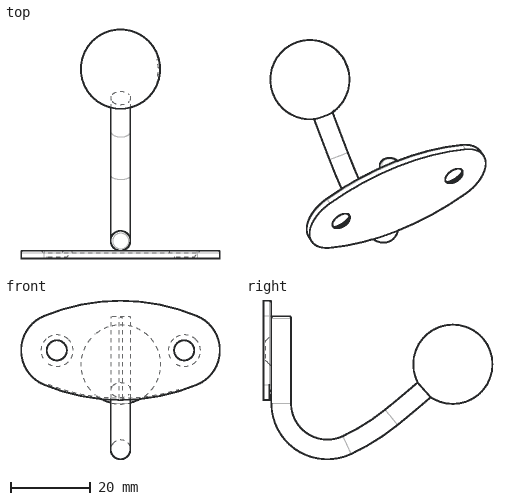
import cadquery as cq
import math

PLATE_LENGTH = 50.0
PLATE_HEIGHT = 25.0
PLATE_THICKNESS = 2.0
PLATE_SIDE_RADIUS = 50.0
PLATE_EDGE_FILLET = 0.5
HOLE_DIAMETER = 5.0
HOLE_SPACING = 32.0
COUNTERSINK_DIAMETER = 8.0
COUNTERSINK_ANGLE = 90.0

ROD_DIAMETER = 5.0
ROD_TOP_Z = 8.6
ROD_TOP_FILLET = 0.5
ROD_WELD_OVERLAP = 0.05
BEND_START_Z = -13.3
BEND_RADIUS = 11.6
BEND_ENTRY_ANGLE = -90.0
BEND_EXIT_ANGLE = 25.0
SWEEP_RADIUS = 54.0
SWEEP_EXIT_ANGLE = 39.0

BALL_DIAMETER = 20.0
BALL_CENTER_Y = 47.59
BALL_CENTER_Z = -3.5

ROD_RADIUS = ROD_DIAMETER / 2
ROD_Y = PLATE_THICKNESS + ROD_RADIUS - ROD_WELD_OVERLAP


def make_plate():
    """Oval plate: two long shallow arcs joined tangentially to two end arcs."""
    half_length = PLATE_LENGTH / 2
    half_height = PLATE_HEIGHT / 2
    side_offset = PLATE_SIDE_RADIUS - half_height
    end_radius = (PLATE_SIDE_RADIUS**2 - half_length**2 - side_offset**2) / (
        2 * (PLATE_SIDE_RADIUS - half_length)
    )
    end_center = half_length - end_radius
    center_distance = PLATE_SIDE_RADIUS - end_radius
    tangent_x = end_center + end_radius * end_center / center_distance
    tangent_z = end_radius * side_offset / center_distance

    plate = (
        cq.Workplane("XZ")
        .moveTo(-tangent_x, tangent_z)
        .threePointArc((0, half_height), (tangent_x, tangent_z))
        .threePointArc((half_length, 0), (tangent_x, -tangent_z))
        .threePointArc((0, -half_height), (-tangent_x, -tangent_z))
        .threePointArc((-half_length, 0), (-tangent_x, tangent_z))
        .close()
        .extrude(-PLATE_THICKNESS)
        .faces(">Y")
        .edges()
        .fillet(PLATE_EDGE_FILLET)
    )
    return (
        plate.faces(">Y")
        .workplane(origin=(0, PLATE_THICKNESS, 0))
        .pushPoints([(-HOLE_SPACING / 2, 0), (HOLE_SPACING / 2, 0)])
        .cskHole(HOLE_DIAMETER, COUNTERSINK_DIAMETER, COUNTERSINK_ANGLE)
    )


def point_below(center, radius, slope):
    """Point (Y, Z) on the underside of an arc where its tangent has the given slope."""
    angle = math.radians(slope)
    return (center[0] + radius * math.sin(angle), center[1] - radius * math.cos(angle))


def make_rod():
    """Round rod: straight shank, tight bend, gentle sweep, then a very slack arc into the ball."""
    bend_center = (ROD_Y + BEND_RADIUS, BEND_START_Z)
    bend_middle_angle = (BEND_ENTRY_ANGLE + BEND_EXIT_ANGLE) / 2
    bend_middle = point_below(bend_center, BEND_RADIUS, bend_middle_angle)
    bend_end = point_below(bend_center, BEND_RADIUS, BEND_EXIT_ANGLE)

    exit_angle = math.radians(BEND_EXIT_ANGLE)
    sweep_center = (
        bend_end[0] - SWEEP_RADIUS * math.sin(exit_angle),
        bend_end[1] + SWEEP_RADIUS * math.cos(exit_angle),
    )
    sweep_middle_angle = (BEND_EXIT_ANGLE + SWEEP_EXIT_ANGLE) / 2
    sweep_middle = point_below(sweep_center, SWEEP_RADIUS, sweep_middle_angle)
    sweep_end = point_below(sweep_center, SWEEP_RADIUS, SWEEP_EXIT_ANGLE)

    path = (
        cq.Workplane("YZ")
        .moveTo(ROD_Y, ROD_TOP_Z)
        .lineTo(ROD_Y, BEND_START_Z)
        .threePointArc(bend_middle, bend_end)
        .threePointArc(sweep_middle, sweep_end)
        .tangentArcPoint((BALL_CENTER_Y, BALL_CENTER_Z), relative=False)
    )
    rod = (
        cq.Workplane("XY", origin=(0, ROD_Y, ROD_TOP_Z))
        .circle(ROD_RADIUS)
        .sweep(path)
    )
    return rod.faces(">Z").edges().fillet(ROD_TOP_FILLET)


def make_ball():
    return cq.Workplane("XY", origin=(0, BALL_CENTER_Y, BALL_CENTER_Z)).sphere(BALL_DIAMETER / 2)


result = make_plate().union(make_rod()).union(make_ball())